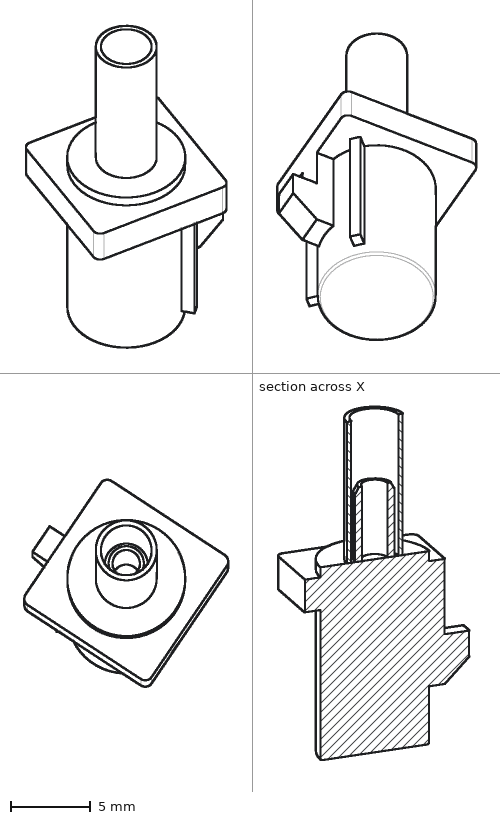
import cadquery as cq

TOTAL_HEIGHT = 22.5
FLANGE_BOTTOM = 10.1
FLANGE_TOP = 12.33
COLLAR_TOP = 13.0

BARREL_DIAMETER = 7.4
BARREL_EDGE_RADIUS = 0.15
FLANGE_SIDE = 9.5
FLANGE_CORNER_RADIUS = 0.5

LATCH_WIDTH = 1.95
LATCH_REACH = 6.41
LATCH_BOTTOM = 3.9
LATCH_NOSE_BOTTOM = 5.5
LATCH_LEDGE = 7.27

RIB_WIDTH = 0.68
RIB_REACH = 4.52
RIB_BOTTOM = 1.01
RIB_ANGLES = (45, 135)

FERRULE_DIAMETER = 3.82
FERRULE_BORE = 3.17

SLEEVE_DIAMETER = 2.7
SLEEVE_TIP_DIAMETER = 2.2
SLEEVE_BORE = 1.7
SLEEVE_TOP = 18.0
SLEEVE_TAPER_HEIGHT = 0.45


def make_barrel():
    """Round barrel running from the socket end up to the collar face."""
    barrel = cq.Workplane("XY").circle(BARREL_DIAMETER / 2).extrude(COLLAR_TOP)
    return barrel.faces("<Z").edges().fillet(BARREL_EDGE_RADIUS)


def make_flange():
    """Square flange with rounded vertical corners."""
    flange = (
        cq.Workplane("XY", origin=(0, 0, FLANGE_BOTTOM))
        .rect(FLANGE_SIDE, FLANGE_SIDE)
        .extrude(FLANGE_TOP - FLANGE_BOTTOM)
    )
    return flange.edges("|Z").fillet(FLANGE_CORNER_RADIUS)


def make_latch():
    """Hooked latch hanging below the flange, rooted in the barrel axis."""
    shank_reach = FLANGE_SIDE / 2
    return (
        cq.Workplane("YZ", origin=(-LATCH_WIDTH / 2, 0, 0))
        .moveTo(0, LATCH_BOTTOM)
        .lineTo(shank_reach, LATCH_BOTTOM)
        .lineTo(LATCH_REACH, LATCH_NOSE_BOTTOM)
        .lineTo(LATCH_REACH, LATCH_LEDGE)
        .lineTo(shank_reach, LATCH_LEDGE)
        .lineTo(shank_reach, FLANGE_BOTTOM)
        .lineTo(0, FLANGE_BOTTOM)
        .close()
        .extrude(LATCH_WIDTH)
    )


def make_rib(angle):
    """Radial coding rib at the given angle from +X, rooted in the barrel axis."""
    return (
        cq.Workplane("XY", origin=(0, 0, RIB_BOTTOM))
        .center(RIB_REACH / 2, 0)
        .rect(RIB_REACH, RIB_WIDTH)
        .extrude(FLANGE_BOTTOM - RIB_BOTTOM)
        .rotate((0, 0, 0), (0, 0, 1), angle)
    )


def make_housing():
    """Barrel, flange, latch and coding ribs as one body."""
    housing = make_barrel().union(make_flange()).union(make_latch())
    for angle in RIB_ANGLES:
        housing = housing.union(make_rib(angle))
    return housing


def make_ferrule():
    """Plain crimp tube standing on the collar face."""
    return (
        cq.Workplane("XY", origin=(0, 0, COLLAR_TOP))
        .circle(FERRULE_DIAMETER / 2)
        .circle(FERRULE_BORE / 2)
        .extrude(TOTAL_HEIGHT - COLLAR_TOP)
    )


def make_sleeve():
    """Tube with a tapered tip, standing on the collar face inside the ferrule."""
    return (
        cq.Workplane("XZ")
        .moveTo(SLEEVE_BORE / 2, COLLAR_TOP)
        .lineTo(SLEEVE_DIAMETER / 2, COLLAR_TOP)
        .lineTo(SLEEVE_DIAMETER / 2, SLEEVE_TOP - SLEEVE_TAPER_HEIGHT)
        .lineTo(SLEEVE_TIP_DIAMETER / 2, SLEEVE_TOP)
        .lineTo(SLEEVE_BORE / 2, SLEEVE_TOP)
        .close()
        .revolve(360, (0, 0, 0), (0, 1, 0))
    )


housing = make_housing()
ferrule = make_ferrule()
sleeve = make_sleeve()

result = cq.Compound.makeCompound([housing.val(), ferrule.val(), sleeve.val()])